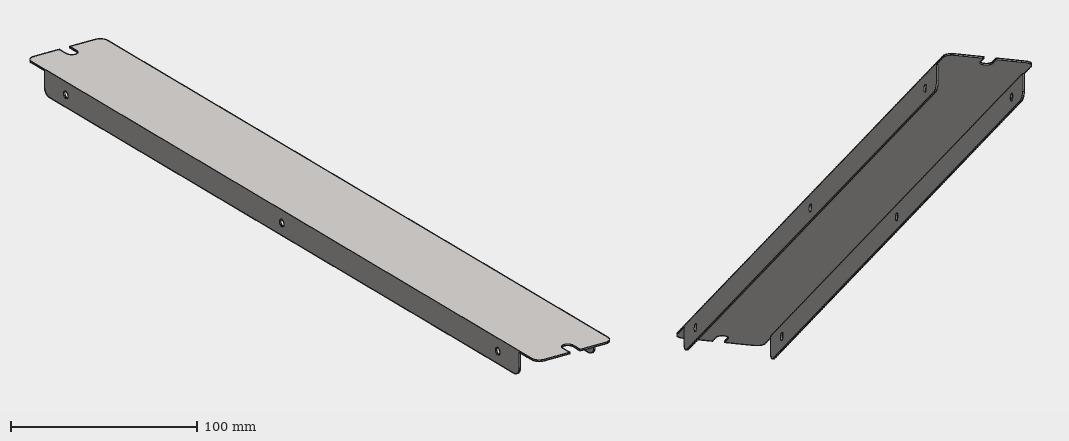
import cadquery as cq

length = 486.5
width = 49.5
height = 15.0
sheet = 1.0

plate_corner_radius = 5.0
slot_width = 7.0
slot_depth = 10.0

flange_length = 452.5
flange_corner_radius = 5.0
hole_diameter = 4.2
hole_spacing = 206.0
hole_drop = 8.0


def make_plate():
    """Flat top sheet with rounded corners; its top face lies at z = 0."""
    plate = cq.Workplane("XY").box(length, width, sheet, centered=(True, True, False))
    return plate.edges("|Z").fillet(plate_corner_radius).translate((0, 0, -sheet))


def make_end_slots():
    """Round-bottomed slots open to both short ends of the plate."""
    return (
        cq.Workplane("XY")
        .pushPoints([(-length / 2, 0), (length / 2, 0)])
        .slot2D(2 * slot_depth, slot_width)
        .extrude(-sheet)
    )


def make_flange(side):
    """Downturned flange on the long edge at the given side (-1 or +1)."""
    flange = cq.Workplane("XY").box(flange_length, sheet, height, centered=(True, True, False))
    flange = flange.edges("|Y and <Z").fillet(flange_corner_radius)
    return flange.translate((0, side * (width - sheet) / 2, -height))


def make_flange_holes():
    """Three holes in a row, passing through both flanges."""
    return (
        cq.Workplane("XZ")
        .pushPoints([(x, -hole_drop) for x in (-hole_spacing, 0, hole_spacing)])
        .circle(hole_diameter / 2)
        .extrude(width / 2, both=True)
    )


result = make_plate().cut(make_end_slots())
for side in (-1, 1):
    result = result.union(make_flange(side))
result = result.cut(make_flange_holes())